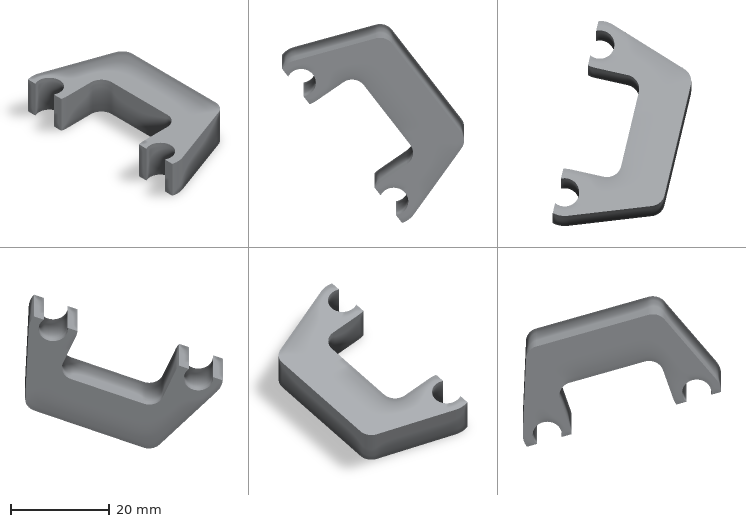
import cadquery as cq
import math

thickness = 8.0
length = 42.0
depth = 21.37
clip_radius = 5.0
clip_bore_radius = 3.0
clip_lip = 1.4
corner_radius = 3.0
corner_spacing = 24.0
slot_depth_past_clips = 10.0
slot_corner_radius = 3.0

clip_x = length / 2 - clip_radius
back_y = depth - clip_lip
front_y = -clip_lip
corner_x = corner_spacing / 2
corner_y = back_y - corner_radius
slot_half_width = clip_x - clip_radius
lip_chord = math.sqrt(clip_radius**2 - clip_lip**2)
lip_outer_x = clip_x + lip_chord
lip_inner_x = clip_x - lip_chord

run = clip_x - corner_x
rise = corner_y
side_angle = math.atan2(run, rise) + math.asin((clip_radius - corner_radius) / math.hypot(run, rise))


def point_on_circle(center_x, center_y, radius, angle):
    return (center_x + radius * math.cos(angle), center_y + radius * math.sin(angle))


def mirrored(point):
    return (-point[0], point[1])


clip_tangent = point_on_circle(clip_x, 0, clip_radius, side_angle)
clip_outermost = (clip_x + clip_radius, 0)
corner_tangent = point_on_circle(corner_x, corner_y, corner_radius, side_angle)
corner_middle = point_on_circle(corner_x, corner_y, corner_radius, (side_angle + math.pi / 2) / 2)
lip_inner_middle = point_on_circle(
    clip_x, 0, clip_radius, math.pi + math.asin(clip_lip / clip_radius) / 2
)

body = (
    cq.Workplane("XY")
    .moveTo(lip_outer_x, front_y)
    .threePointArc(clip_outermost, clip_tangent)
    .lineTo(*corner_tangent)
    .threePointArc(corner_middle, (corner_x, back_y))
    .lineTo(-corner_x, back_y)
    .threePointArc(mirrored(corner_middle), mirrored(corner_tangent))
    .lineTo(*mirrored(clip_tangent))
    .threePointArc(mirrored(clip_outermost), (-lip_outer_x, front_y))
    .lineTo(-lip_inner_x, front_y)
    .threePointArc(mirrored(lip_inner_middle), (-slot_half_width, 0))
    .lineTo(-slot_half_width, slot_depth_past_clips - slot_corner_radius)
    .radiusArc((-slot_half_width + slot_corner_radius, slot_depth_past_clips), slot_corner_radius)
    .lineTo(slot_half_width - slot_corner_radius, slot_depth_past_clips)
    .radiusArc((slot_half_width, slot_depth_past_clips - slot_corner_radius), slot_corner_radius)
    .lineTo(slot_half_width, 0)
    .threePointArc(lip_inner_middle, (lip_inner_x, front_y))
    .close()
    .extrude(thickness)
)

bores = (
    cq.Workplane("XY")
    .pushPoints([(-clip_x, 0), (clip_x, 0)])
    .circle(clip_bore_radius)
    .extrude(thickness)
)

result = body.cut(bores)